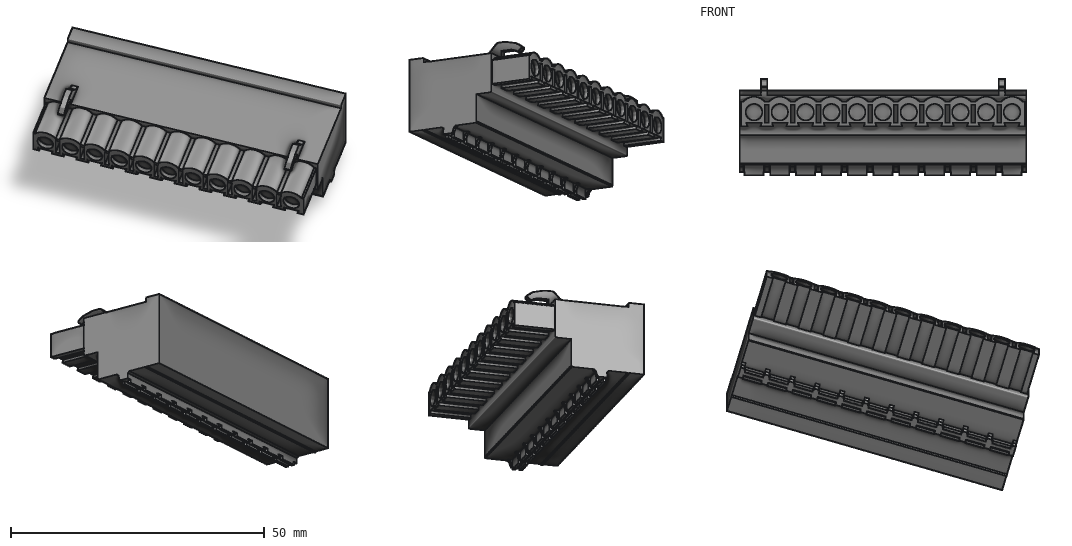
import cadquery as cq
import math


pole_count = 11
pitch = 5.08
row_width = pole_count * pitch
width = 56.5

housing_depth = 18.33
housing_height = 13.75
step_depth = 3.33
step_height = 5.8
step_edge_radius = 0.35
ridge_depth = 3.2
ridge_height = 14.65
ridge_edge_radius = 0.25
front_bevel_depth = 0.1
front_bevel_height = 0.3

total_depth = 26.6
socket_length = total_depth - housing_depth
socket_bottom = 7.56
socket_axis_z = 10.38
barrel_top = 13.42
barrel_half_width = 2.13
land_z = 12.42
bore_diameter = 3.25
bore_depth = 1.0
slot_width = 0.82
slot_bottom = 8.26
slot_top = 11.83
keyway_height = slot_bottom - socket_bottom
keyway_top_width = 3.05
keyway_mouth_width = 2.55

total_height = 19.01
hook_top = 16.93
hook_width = 1.25
hook_inset = 4.84
hook_centers = (hook_inset - width / 2, width / 2 - hook_inset)
hook_crest_y = 1.06
hook_crest_z = 16.82
hook_slope_foot_y = 4.0
hook_underside = 15.17
hook_root_radius = 1.8
hook_arm_top = (
    (0.72, hook_top),
    (-0.55, hook_top),
    (-1.08, 16.88),
    (-3.2, 16.36),
    (-3.42, 16.25),
    (-4.47, 15.5),
)
hook_barb = ((-4.47, 15.25), (-3.8, 14.63), (-3.4, 14.63), (-3.1, 14.9), (-2.2, hook_underside))

rib_back = 10.73
rib_front = 8.75
rib_web_z = -1.43
rib_foot_z = hook_top - total_height
rib_back_chamfer = 0.35
rib_slope_start = 0.35
rib_chamfer_front = 0.43
rib_chamfer_height = 0.4
foot_width = 3.8
foot_length = 0.57
foot_side_gap = 0.2
foot_gap_depth = 0.2
bead_center = 15.13
bead_radius = 0.2


def extrude_x(profile, x_center, length):
    """Extrude a YZ profile symmetrically about x_center."""
    return profile.extrude(length / 2, both=True).translate((x_center, 0, 0))


def block(x_range, y_range, z_range):
    """Axis-aligned block between the given limits."""
    size = [high - low for low, high in (x_range, y_range, z_range)]
    corner = (x_range[0], y_range[0], z_range[0])
    return cq.Workplane("XY").box(*size, centered=False).translate(corner)


def pole_positions():
    first = -(pole_count - 1) * pitch / 2
    return [first + i * pitch for i in range(pole_count)]


def housing():
    ridge_front = housing_depth - ridge_depth
    profile = (
        cq.Workplane("YZ")
        .moveTo(housing_depth, 0)
        .lineTo(step_depth + front_bevel_depth, 0)
        .lineTo(step_depth, front_bevel_height)
        .lineTo(step_depth, step_height)
        .lineTo(step_edge_radius, step_height)
        .radiusArc((0, step_height + step_edge_radius), step_edge_radius)
        .lineTo(0, housing_height)
        .lineTo(ridge_front, housing_height)
        .lineTo(ridge_front, ridge_height - ridge_edge_radius)
        .radiusArc((ridge_front + ridge_edge_radius, ridge_height), ridge_edge_radius)
        .lineTo(housing_depth, ridge_height)
        .close()
    )
    return extrude_x(profile, 0, width)


def socket_row():
    row = block((-row_width / 2, row_width / 2), (-socket_length, 0), (socket_bottom, land_z))
    front = cq.Workplane("XZ", origin=(0, -socket_length, 0))
    for x in pole_positions():
        barrel = (
            front.moveTo(x - barrel_half_width, land_z)
            .threePointArc((x, barrel_top), (x + barrel_half_width, land_z))
            .close()
            .extrude(-socket_length)
        )
        row = row.union(barrel)
    for x in pole_positions():
        bore = front.center(x, socket_axis_z).circle(bore_diameter / 2).extrude(-bore_depth)
        keyway = (
            front.moveTo(x - keyway_mouth_width / 2, socket_bottom)
            .lineTo(x + keyway_mouth_width / 2, socket_bottom)
            .lineTo(x + keyway_top_width / 2, socket_bottom + keyway_height)
            .lineTo(x - keyway_top_width / 2, socket_bottom + keyway_height)
            .close()
            .extrude(-socket_length)
        )
        row = row.cut(bore).cut(keyway)
    for x in pole_positions()[:-1]:
        middle = x + pitch / 2
        row = row.cut(
            block(
                (middle - slot_width / 2, middle + slot_width / 2),
                (-socket_length, 0),
                (slot_bottom, slot_top),
            )
        )
    return row


def latch_hook(x):
    rise = hook_crest_z - housing_height
    slope = math.atan2(rise, hook_slope_foot_y - hook_crest_y)
    tangent = hook_root_radius * math.tan(slope / 2)
    arc_end = (
        hook_slope_foot_y - tangent * math.cos(slope),
        housing_height + tangent * math.sin(slope),
    )
    profile = (
        cq.Workplane("YZ")
        .moveTo(0, housing_height)
        .lineTo(hook_slope_foot_y + tangent, housing_height)
        .radiusArc(arc_end, -hook_root_radius)
        .lineTo(hook_crest_y, hook_crest_z)
    )
    for point in hook_arm_top + hook_barb:
        profile = profile.lineTo(*point)
    profile = profile.lineTo(0, hook_underside).close()
    return extrude_x(profile, x, hook_width)


def foot_rib():
    profile = (
        cq.Workplane("YZ")
        .moveTo(rib_back + rib_back_chamfer, 0)
        .lineTo(rib_back, -rib_back_chamfer)
        .lineTo(rib_back, rib_web_z)
        .lineTo(rib_front, rib_web_z)
        .lineTo(rib_front - rib_slope_start, -rib_chamfer_height)
        .lineTo(rib_front - rib_slope_start - rib_chamfer_front, 0)
        .close()
    )
    rib = extrude_x(profile, 0, width)
    for x in pole_positions():
        foot_x = (x - foot_width / 2, x + foot_width / 2)
        recess_x = (foot_x[0] - foot_side_gap, foot_x[1] + foot_side_gap)
        rib = rib.cut(block(recess_x, (0, rib_front + foot_gap_depth), (rib_web_z, 0)))
        front_foot = block(foot_x, (rib_front, rib_front + foot_length), (rib_foot_z, 0))
        back_foot = block(foot_x, (rib_back - foot_length, rib_back), (rib_foot_z, rib_web_z))
        rib = rib.union(front_foot).union(back_foot)
    return rib


def underside_bead():
    profile = cq.Workplane("YZ").center(bead_center, 0).circle(bead_radius)
    return extrude_x(profile, 0, width)


body = housing()
for hook_x in hook_centers:
    body = body.union(latch_hook(hook_x))
body = body.clean()
result = body.union(socket_row()).union(foot_rib()).union(underside_bead())